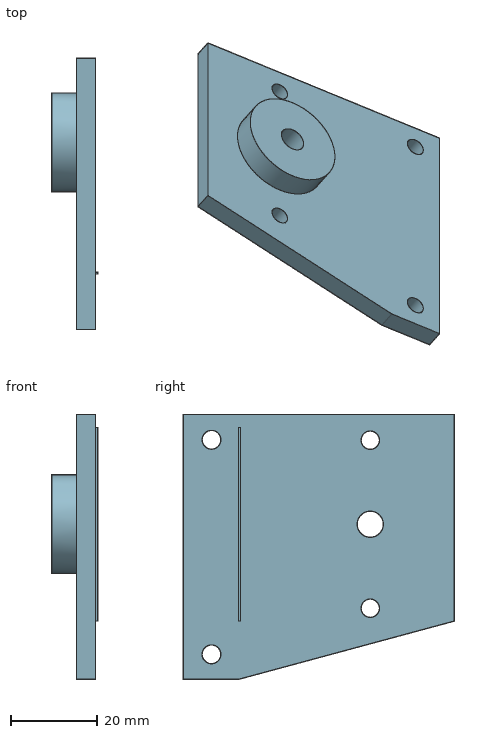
import cadquery as cq

plate_thickness = 4.5
plate_width = 62.99
plate_height = 61.5
bottom_flat = 13.0
sloped_corner_z = 13.5

boss_diameter = 23.0
boss_height = 5.7
bore_diameter = 6.0
boss_y = 43.45
boss_z = 36.0

boss_side_hole_diameter = 4.2
boss_side_hole_offset = 19.5
edge_hole_diameter = 4.3
edge_hole_y = 6.6
edge_hole_heights = (5.8, 55.6)

rib_height = 0.5
rib_width = 0.5
rib_length = 45.0
rib_y = 13.1
rib_bottom_z = 13.5


def make_plate():
    """Plate with its lower +Y corner cut by a sloped edge."""
    outline = [
        (0, 0),
        (bottom_flat, 0),
        (plate_width, sloped_corner_z),
        (plate_width, plate_height),
        (0, plate_height),
    ]
    return cq.Workplane("YZ").polyline(outline).close().extrude(plate_thickness)


def make_boss():
    """Solid boss standing on the -X face of the plate."""
    return (
        cq.Workplane("YZ")
        .center(boss_y, boss_z)
        .circle(boss_diameter / 2)
        .extrude(-boss_height)
    )


def make_rib():
    """Upright rib, centred on rib_y and rising from rib_bottom_z."""
    return (
        cq.Workplane("XY", origin=(plate_thickness, rib_y, rib_bottom_z))
        .box(rib_height, rib_width, rib_length, centered=(False, True, False))
    )


def make_holes(diameter, centers):
    """Cutters along X that run through the boss and the plate."""
    return (
        cq.Workplane("YZ", origin=(-boss_height, 0, 0))
        .pushPoints(centers)
        .circle(diameter / 2)
        .extrude(boss_height + plate_thickness)
    )


boss_side_holes = [
    (boss_y, boss_z - boss_side_hole_offset),
    (boss_y, boss_z + boss_side_hole_offset),
]
edge_holes = [(edge_hole_y, height) for height in edge_hole_heights]

result = (
    make_plate()
    .union(make_boss())
    .union(make_rib())
    .cut(make_holes(bore_diameter, [(boss_y, boss_z)]))
    .cut(make_holes(boss_side_hole_diameter, boss_side_holes))
    .cut(make_holes(edge_hole_diameter, edge_holes))
)